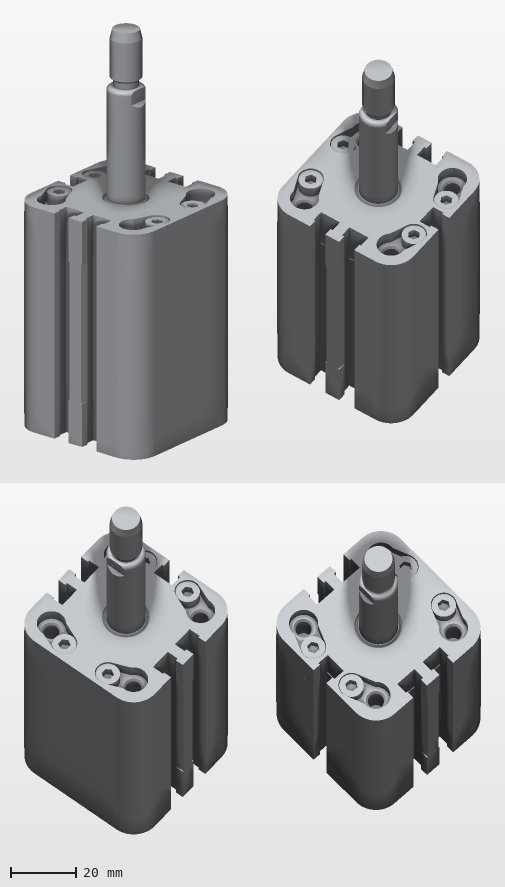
import cadquery as cq
import math

TOTAL_HEIGHT = 129.5
BODY_WIDTH = 49.0
HALF_WIDTH = BODY_WIDTH / 2
CAP_HEIGHT = 14.2
BARREL_TOP = 59.8
BODY_TOP = BARREL_TOP + CAP_HEIGHT

CORNER_RADIUS = 8.0
CORNER_INSET = 0.1

SLOT_WIDTH = 5.7
SLOT_LIP = 2.7
SLOT_UNDERCUT_WIDTH = 7.1
SLOT_DEPTH = 6.6
SLOT_OFFSET = 5.5
SLOT_UNDERCUT_OFFSET = 5.3
BARREL_RIB_TAPER = 0.4
BARREL_FLOOR_RAISE = 0.3

SCREW_X = 19.3
SCREW_Y = 8.5
SCREW_POCKET_DIAMETER = 7.9
SCREW_HEAD_DIAMETER = 7.5
SCREW_HEAD_RECESS = 0.5
SOCKET_ACROSS_FLATS = 3.4
SOCKET_DEPTH = 2.8
MOUNT_POSITION = 16.2
MOUNT_POCKET_DIAMETER = 9.0
MOUNT_HOLE_DIAMETER = 4.9
MOUNT_HOLE_CHAMFER = 0.6
POCKET_DEPTH = 4.1

ROD_DIAMETER = 12.0
ROD_TOP = 110.9
ROD_EDGE_RADIUS = 1.4
FLATS_WIDTH = 10.0
FLATS_BOTTOM = 106.5
FLATS_RUNOUT_WIDTH = 1.0
FLATS_RUNOUT_HEIGHT = 1.3
THREAD_DIAMETER = 10.0
THREAD_BOTTOM = 113.7
THREAD_LEAD_IN = 0.8
TIP_DIAMETER = 8.5
TIP_HEIGHT = 3.0
NECK_DIAMETER = 7.9
GROOVE_DIAMETER = 14.0
GROOVE_RIM_DIAMETER = 14.8
GROOVE_RIM_DEPTH = 0.4
GROOVE_DEPTH = 0.8
LIP_BASE_DIAMETER = 13.7
LIP_TOP_DIAMETER = 12.5
LIP_RECESS = 0.1


def section(inset):
    """Square outline whose corner arcs are pulled in along the diagonal by `inset`."""
    straight = HALF_WIDTH - CORNER_RADIUS
    middle = straight + CORNER_RADIUS * math.sqrt(0.5) - inset * math.sqrt(0.5)
    outline = cq.Workplane("XY").moveTo(-straight, -HALF_WIDTH)
    for x_sign, y_sign in ((1, -1), (1, 1), (-1, 1), (-1, -1)):
        along_x = (x_sign * straight, y_sign * HALF_WIDTH)
        along_y = (x_sign * HALF_WIDTH, y_sign * straight)
        start, end = (along_x, along_y) if x_sign * y_sign < 0 else (along_y, along_x)
        through = (x_sign * middle, y_sign * middle)
        outline = outline.lineTo(*start).threePointArc(through, end)
    return outline.close().wires().val()


def tapered_block(joint_z, outer_z):
    """Cap block: full section at the joint, pulled-in corners at the outer end."""
    joint = section(0).translate(cq.Vector(0, 0, joint_z))
    outer = section(CORNER_INSET).translate(cq.Vector(0, 0, outer_z))
    return cq.Workplane("XY").add(cq.Solid.makeLoft([joint, outer], True))


def slot_cutter(rib_taper=0, floor_raise=0):
    """All T-slots as one cutter: two on the front and back faces, one on the -X face."""
    floor = HALF_WIDTH - SLOT_DEPTH + floor_raise
    lip = HALF_WIDTH - SLOT_LIP
    half_mouth = SLOT_WIDTH / 2
    half_undercut = SLOT_UNDERCUT_WIDTH / 2

    def upright_slot(outline):
        return cq.Workplane("XY").polyline(outline).close().extrude(BODY_TOP)

    back_right = upright_slot(
        [
            (SLOT_UNDERCUT_OFFSET - half_undercut, floor),
            (SLOT_UNDERCUT_OFFSET + half_undercut, floor),
            (SLOT_UNDERCUT_OFFSET + half_undercut, lip),
            (SLOT_OFFSET + half_mouth, lip),
            (SLOT_OFFSET + half_mouth, HALF_WIDTH),
            (SLOT_OFFSET - half_mouth - rib_taper, HALF_WIDTH),
            (SLOT_OFFSET - half_mouth, lip),
            (SLOT_UNDERCUT_OFFSET - half_undercut, lip),
        ]
    )
    side = upright_slot(
        [
            (-floor, -half_undercut),
            (-floor, half_undercut),
            (-lip, half_undercut),
            (-lip, half_mouth),
            (-HALF_WIDTH, half_mouth),
            (-HALF_WIDTH, -half_mouth),
            (-lip, -half_mouth),
            (-lip, -half_undercut),
        ]
    )
    back_pair = back_right.union(back_right.mirror("YZ"))
    return back_pair.union(back_pair.mirror("XZ")).union(side)


def cylinder(diameter, bottom, top):
    return cq.Workplane("XY", origin=(0, 0, bottom)).circle(diameter / 2).extrude(top - bottom)


def cone(bottom_diameter, top_diameter, bottom, top):
    return cq.Workplane("XY").add(
        cq.Solid.makeCone(bottom_diameter / 2, top_diameter / 2, top - bottom, cq.Vector(0, 0, bottom))
    )


def screw_pocket():
    """Slot at +X +Y from the screw to the mounting hole, with a wider circle around the hole."""
    reach_x = MOUNT_POSITION - SCREW_X
    reach_y = MOUNT_POSITION - SCREW_Y
    slot_length = math.hypot(reach_x, reach_y) + SCREW_POCKET_DIAMETER
    slot_angle = math.degrees(math.atan2(reach_y, reach_x))
    floor = BODY_TOP - POCKET_DEPTH
    slot = (
        cq.Workplane("XY", origin=(0, 0, floor))
        .center((MOUNT_POSITION + SCREW_X) / 2, (MOUNT_POSITION + SCREW_Y) / 2)
        .slot2D(slot_length, SCREW_POCKET_DIAMETER, slot_angle)
        .extrude(POCKET_DEPTH)
    )
    circle = cylinder(MOUNT_POCKET_DIAMETER, floor, BODY_TOP)
    return slot.union(circle.translate((MOUNT_POSITION, MOUNT_POSITION, 0)))


def mount_hole():
    """Chamfered hole from the pocket floor through the cap, at +X +Y."""
    floor = BODY_TOP - POCKET_DEPTH
    rim_diameter = MOUNT_HOLE_DIAMETER + 2 * MOUNT_HOLE_CHAMFER
    hole = cylinder(MOUNT_HOLE_DIAMETER, BARREL_TOP, floor).union(
        cone(MOUNT_HOLE_DIAMETER, rim_diameter, floor - MOUNT_HOLE_CHAMFER, floor)
    )
    return hole.translate((MOUNT_POSITION, MOUNT_POSITION, 0))


def screw_head():
    """Hexagon socket head standing on the pocket floor, at +X +Y."""
    top = BODY_TOP - SCREW_HEAD_RECESS
    across_corners = SOCKET_ACROSS_FLATS / math.cos(math.pi / 6)
    socket = (
        cq.Workplane("XY", origin=(0, 0, top - SOCKET_DEPTH))
        .polygon(6, across_corners)
        .extrude(SOCKET_DEPTH)
    )
    head = cylinder(SCREW_HEAD_DIAMETER, BODY_TOP - POCKET_DEPTH, top).cut(socket)
    return head.translate((SCREW_X, SCREW_Y, 0))


def four_corners(feature):
    """The +X +Y feature together with its mirror images at the other corners."""
    pair = feature.union(feature.mirror("YZ"))
    return pair.union(pair.mirror("XZ"))


def rod_bore():
    """Bore that holds the rod."""
    return cylinder(ROD_DIAMETER, BARREL_TOP, BODY_TOP)


def seal_groove():
    """Ring groove in the cap face whose inner wall is the sealing lip around the rod."""
    floor = BODY_TOP - GROOVE_DEPTH
    lip = cone(LIP_BASE_DIAMETER, LIP_TOP_DIAMETER, floor, BODY_TOP - LIP_RECESS)
    rim = cone(GROOVE_DIAMETER, GROOVE_RIM_DIAMETER, BODY_TOP - GROOVE_RIM_DEPTH, BODY_TOP)
    return cylinder(GROOVE_DIAMETER, floor, BODY_TOP).union(rim).cut(lip)


def make_front_cap():
    block = tapered_block(BARREL_TOP, BODY_TOP).cut(slot_cutter())
    pocketed = block.cut(four_corners(screw_pocket())).cut(four_corners(mount_hole()))
    return pocketed.union(four_corners(screw_head())).cut(seal_groove()).cut(rod_bore())


def make_barrel():
    height = BARREL_TOP - CAP_HEIGHT
    block = cq.Workplane("XY").add(section(0)).toPending().extrude(height).translate((0, 0, CAP_HEIGHT))
    return block.cut(slot_cutter(BARREL_RIB_TAPER, BARREL_FLOOR_RAISE))


def make_rear_cap():
    return tapered_block(CAP_HEIGHT, 0).cut(slot_cutter())


def flat_cutter():
    """Cutter for the wrench flat on +X, with a sloped run-out at its lower end."""
    flat = FLATS_WIDTH / 2
    reach = flat + FLATS_RUNOUT_WIDTH
    runout_end = FLATS_BOTTOM - FLATS_RUNOUT_HEIGHT
    return (
        cq.Workplane("XZ")
        .polyline([(flat, ROD_TOP), (flat, FLATS_BOTTOM), (reach, runout_end), (reach, ROD_TOP)])
        .close()
        .extrude(ROD_DIAMETER / 2, both=True)
    )


def make_rod():
    rod = ROD_DIAMETER / 2
    thread = THREAD_DIAMETER / 2
    neck = NECK_DIAMETER / 2
    edge_center = (rod - ROD_EDGE_RADIUS, ROD_TOP - ROD_EDGE_RADIUS)
    edge_reach = ROD_EDGE_RADIUS * math.sqrt(0.5)
    edge_middle = (edge_center[0] + edge_reach, edge_center[1] + edge_reach)
    turned = (
        cq.Workplane("XZ")
        .moveTo(0, BARREL_TOP)
        .lineTo(rod, BARREL_TOP)
        .lineTo(rod, edge_center[1])
        .threePointArc(edge_middle, (edge_center[0], ROD_TOP))
        .lineTo(neck, ROD_TOP)
        .lineTo(neck, THREAD_BOTTOM - THREAD_LEAD_IN)
        .lineTo(thread, THREAD_BOTTOM)
        .lineTo(thread, TOTAL_HEIGHT - TIP_HEIGHT)
        .lineTo(TIP_DIAMETER / 2, TOTAL_HEIGHT)
        .lineTo(0, TOTAL_HEIGHT)
        .close()
        .revolve(360, (0, 0, 0), (0, 1, 0))
    )
    cutter = flat_cutter()
    return turned.cut(cutter).cut(cutter.mirror("YZ"))


front_cap = make_front_cap()
barrel = make_barrel()
rear_cap = make_rear_cap()
rod = make_rod()

result = cq.Compound.makeCompound([front_cap.val(), barrel.val(), rear_cap.val(), rod.val()])